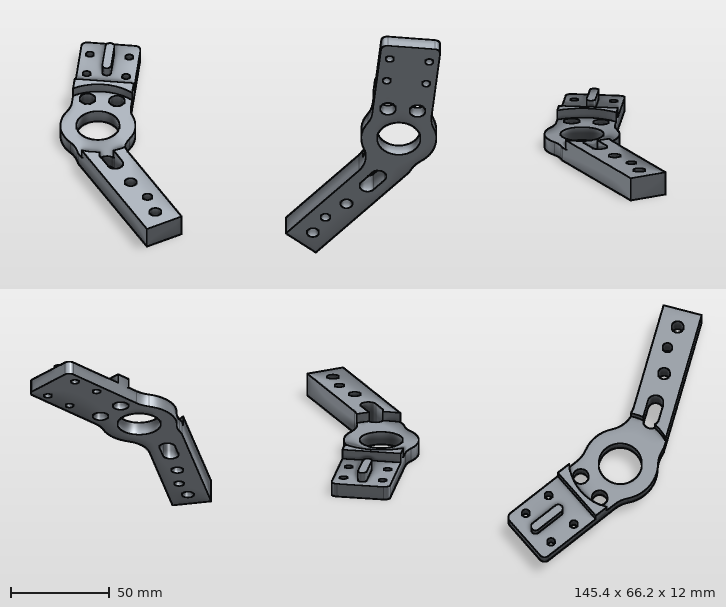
import cadquery as cq
import math

FULL_HEIGHT = 12.0
PLATE_HEIGHT = 7.0

RING_RADIUS = 19.0
BORE_DIAMETER = 22.0
RECESS_RADIUS = 26.0
BLEND_RADIUS = 15.0

BAR_END_X = 86.5
BAR_WIDTH = 20.1
BAR_BOTTOM_Y = -RING_RADIUS
BAR_TOP_Y = BAR_BOTTOM_Y + BAR_WIDTH
BAR_MIDDLE_Y = BAR_BOTTOM_Y + BAR_WIDTH / 2
SLOT_X = 30.5
SLOT_LENGTH = 16.5
SLOT_WIDTH = 8.0
BAR_HOLE_XS = (51.0, 77.1)
BAR_HOLE_DIAMETER = 6.1
PIN_HOLE_X = 65.0
PIN_HOLE_OFFSET = 2.0
PIN_HOLE_DIAMETER = 5.0

HOLLOW_X = 8.1
HOLLOW_END_X = 11.3
BAR_EDGE_START_X = 14.1

ARM_ANGLE = 145
ARM_LENGTH = 62.8
ARM_WIDTH = 30.1
ARM_CORNER_RADIUS = 3.0
PAD_START = 28.7
ARM_HOLE_DIAMETER = 4.1
ARM_HOLE_CENTER = 46.4
ARM_HOLE_PITCH = 15.0
ARM_HOLE_GAUGE = 20.1
KEY_CENTER = 48.3
KEY_LENGTH = 19.5
KEY_WIDTH = 4.5
LARGE_HOLE_DISTANCE = 19.8
LARGE_HOLE_GAUGE = 15.0
LARGE_HOLE_DIAMETER = 8.0


def blend_points(edge_y):
    """Ring end, middle and edge end of an arc tangent to the ring and the line y = edge_y."""
    center_y = edge_y + BLEND_RADIUS
    center_x = math.sqrt((RING_RADIUS + BLEND_RADIUS) ** 2 - center_y ** 2)
    ring_share = RING_RADIUS / (RING_RADIUS + BLEND_RADIUS)
    ring_end = (center_x * ring_share, center_y * ring_share)
    ring_side_angle = math.atan2(center_y, center_x) + math.pi
    edge_side_angle = 1.5 * math.pi
    middle_angle = (ring_side_angle + edge_side_angle) / 2
    middle = (
        center_x + BLEND_RADIUS * math.cos(middle_angle),
        center_y + BLEND_RADIUS * math.sin(middle_angle),
    )
    return ring_end, middle, (center_x, edge_y)


def arm_frame(solid):
    """Turn a solid modelled along +X into the direction of the arm."""
    return solid.rotate((0, 0, 0), (0, 0, 1), ARM_ANGLE)


def cylinder(diameter):
    return cq.Workplane("XY").circle(diameter / 2).extrude(FULL_HEIGHT)


def make_bar():
    ring_end, blend_middle, edge_start = blend_points(BAR_TOP_Y)

    hollow_radius = BLEND_RADIUS
    center_distance = RING_RADIUS + hollow_radius
    hollow_y = -math.sqrt(center_distance ** 2 - HOLLOW_X ** 2)
    ring_share = RING_RADIUS / center_distance
    hollow_start = (HOLLOW_X * ring_share, hollow_y * ring_share)
    hollow_top = (HOLLOW_X, hollow_y + hollow_radius)
    hollow_end_rise = math.sqrt(hollow_radius ** 2 - (HOLLOW_END_X - HOLLOW_X) ** 2)
    hollow_end = (HOLLOW_END_X, hollow_y + hollow_end_rise)

    return (
        cq.Workplane("XY")
        .moveTo(0, 0)
        .lineTo(*hollow_start)
        .threePointArc(hollow_top, hollow_end)
        .lineTo(BAR_EDGE_START_X, BAR_BOTTOM_Y)
        .lineTo(BAR_END_X, BAR_BOTTOM_Y)
        .lineTo(BAR_END_X, BAR_TOP_Y)
        .lineTo(*edge_start)
        .threePointArc(blend_middle, ring_end)
        .close()
        .extrude(FULL_HEIGHT)
    )


def make_arm():
    ring_end, blend_middle, edge_start = blend_points(ARM_WIDTH / 2)
    half_arm = (
        cq.Workplane("XY")
        .moveTo(0, 0)
        .lineTo(*ring_end)
        .threePointArc(blend_middle, edge_start)
        .lineTo(ARM_LENGTH, ARM_WIDTH / 2)
        .lineTo(ARM_LENGTH, 0)
        .close()
        .extrude(FULL_HEIGHT)
    )
    arm = half_arm.union(half_arm.mirror("XZ")).clean()
    arm = arm.edges("|Z and >X").fillet(ARM_CORNER_RADIUS)

    pad_length = ARM_LENGTH - PAD_START
    pad_cut = (
        cq.Workplane("XY", origin=(PAD_START + pad_length / 2, 0, PLATE_HEIGHT))
        .rect(pad_length, ARM_WIDTH)
        .extrude(FULL_HEIGHT - PLATE_HEIGHT)
    )
    key = (
        cq.Workplane("XY", origin=(KEY_CENTER, 0, 0))
        .slot2D(KEY_LENGTH, KEY_WIDTH)
        .extrude(FULL_HEIGHT)
    )
    return arm_frame(arm.cut(pad_cut).union(key))


def make_recess():
    return (
        cq.Workplane("XY", origin=(0, 0, PLATE_HEIGHT))
        .circle(RECESS_RADIUS)
        .extrude(FULL_HEIGHT - PLATE_HEIGHT)
    )


def make_bar_holes():
    holes = (
        cq.Workplane("XY", origin=(SLOT_X, BAR_MIDDLE_Y, 0))
        .slot2D(SLOT_LENGTH, SLOT_WIDTH)
        .extrude(FULL_HEIGHT)
    )
    for x in BAR_HOLE_XS:
        holes = holes.union(cylinder(BAR_HOLE_DIAMETER).translate((x, BAR_MIDDLE_Y, 0)))
    pin_y = BAR_MIDDLE_Y + PIN_HOLE_OFFSET
    return holes.union(cylinder(PIN_HOLE_DIAMETER).translate((PIN_HOLE_X, pin_y, 0)))


def make_arm_holes():
    small_holes = (
        cq.Workplane("XY", origin=(ARM_HOLE_CENTER, 0, 0))
        .rarray(ARM_HOLE_PITCH, ARM_HOLE_GAUGE, 2, 2)
        .circle(ARM_HOLE_DIAMETER / 2)
        .extrude(FULL_HEIGHT)
    )
    large_holes = (
        cq.Workplane("XY", origin=(LARGE_HOLE_DISTANCE, 0, 0))
        .rarray(1.5, LARGE_HOLE_GAUGE, 1, 2)
        .circle(LARGE_HOLE_DIAMETER / 2)
        .extrude(FULL_HEIGHT)
    )
    return arm_frame(small_holes.union(large_holes))


ring = cylinder(2 * RING_RADIUS)
body = ring.union(make_bar()).union(make_arm())
body = body.cut(make_recess()).cut(cylinder(BORE_DIAMETER))
result = body.cut(make_bar_holes()).cut(make_arm_holes())